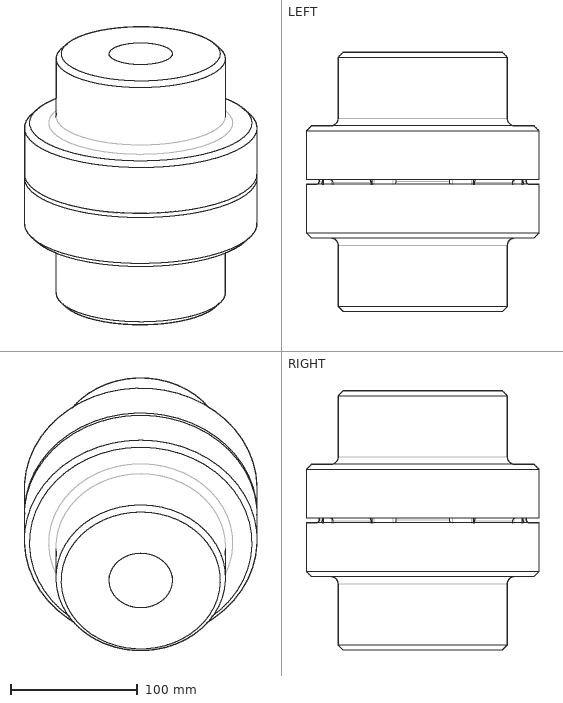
import cadquery as cq
import math


total_length = 205.1
hub_gap = 3.5
flange_diameter = 184.0
flange_thickness = 42.7
boss_diameter = 134.0
boss_fillet = 5.7
bore_diameter = 50.0
edge_chamfer = 4.0

claws_per_hub = 4
claw_angle = 30.0
claw_outer_radius = 82.0
claw_inner_radius = 49.2
claw_root_fillet = 2.0
pocket_depth = 24.6

spider_inner_radius = 37.0
leg_edge_round = 2.3

flange_radius = flange_diameter / 2
boss_radius = boss_diameter / 2
bore_radius = bore_diameter / 2
face_z = hub_gap / 2
end_z = total_length / 2
flange_back_z = face_z + flange_thickness
pocket_floor_z = face_z + pocket_depth
claw_pitch = 360.0 / claws_per_hub
pocket_angle = claw_pitch - claw_angle
leg_count = 2 * claws_per_hub
leg_pitch = 360.0 / leg_count
leg_angle = leg_pitch - claw_angle


def polar(radius, angle):
    """Point in the XY plane at an angle in degrees from +X."""
    return (radius * math.cos(math.radians(angle)), radius * math.sin(math.radians(angle)))


def turn(body, angle):
    """Body turned about the Z axis by an angle in degrees."""
    return body.rotate((0, 0, 0), (0, 0, 1), angle)


def ring(inner_radius, outer_radius, bottom_z, top_z):
    """Plain ring about the Z axis."""
    height = top_z - bottom_z
    base = cq.Workplane("XY").workplane(offset=bottom_z)
    return base.circle(outer_radius).circle(inner_radius).extrude(height)


def fillet_middle(radius):
    """Distance, along each of two square faces, from their corner to the middle of a fillet."""
    return radius * (1 - math.sqrt(0.5))


def hub_blank():
    """Turned body of the upper hub: chamfered flange, filleted boss and through bore."""
    arc_middle = fillet_middle(boss_fillet)
    return (
        cq.Workplane("XZ")
        .moveTo(bore_radius, face_z)
        .lineTo(flange_radius, face_z)
        .lineTo(flange_radius, flange_back_z - edge_chamfer)
        .lineTo(flange_radius - edge_chamfer, flange_back_z)
        .lineTo(boss_radius + boss_fillet, flange_back_z)
        .threePointArc(
            (boss_radius + arc_middle, flange_back_z + arc_middle),
            (boss_radius, flange_back_z + boss_fillet),
        )
        .lineTo(boss_radius, end_z - edge_chamfer)
        .lineTo(boss_radius - edge_chamfer, end_z)
        .lineTo(bore_radius, end_z)
        .close()
        .revolve(360, (0, 0, 0), (0, 1, 0))
    )


def pocket():
    """Space sunk into the upper flange between two claws, centred on +X."""
    half_angle = pocket_angle / 2
    return (
        cq.Workplane("XY")
        .workplane(offset=face_z)
        .moveTo(*polar(claw_inner_radius, -half_angle))
        .lineTo(*polar(claw_outer_radius, -half_angle))
        .threePointArc((claw_outer_radius, 0), polar(claw_outer_radius, half_angle))
        .lineTo(*polar(claw_inner_radius, half_angle))
        .threePointArc((claw_inner_radius, 0), polar(claw_inner_radius, -half_angle))
        .close()
        .extrude(pocket_depth)
    )


def claw():
    """Claw of the upper hub, centred on +X, with a concave fillet at its outer root."""
    arc_middle = fillet_middle(claw_root_fillet)
    uncentred_claw = (
        cq.Workplane("XZ")
        .moveTo(claw_inner_radius, face_z)
        .lineTo(claw_inner_radius, -pocket_floor_z)
        .lineTo(claw_outer_radius, -pocket_floor_z)
        .lineTo(claw_outer_radius, face_z - claw_root_fillet)
        .threePointArc(
            (claw_outer_radius + arc_middle, face_z - arc_middle),
            (claw_outer_radius + claw_root_fillet, face_z),
        )
        .close()
        .revolve(claw_angle, (0, 0, 0), (0, 1, 0))
    )
    return turn(uncentred_claw, -claw_angle / 2)


def make_hub():
    """Upper hub, with its first claw centred half a claw pitch from +X."""
    hub = hub_blank().cut(ring(spider_inner_radius, claw_inner_radius, face_z, pocket_floor_z))
    for index in range(claws_per_hub):
        hub = hub.cut(turn(pocket(), index * claw_pitch))
    for index in range(claws_per_hub):
        hub = hub.union(turn(claw(), (index + 0.5) * claw_pitch))
    return hub


def spider_leg():
    """Spider leg centred on +X, with a flat outer face between two rounded edges."""
    half_angle = leg_angle / 2
    return (
        cq.Workplane("XY")
        .workplane(offset=-pocket_floor_z)
        .moveTo(*polar(claw_inner_radius, -half_angle))
        .lineTo(*polar(claw_outer_radius, -half_angle))
        .lineTo(*polar(claw_outer_radius, half_angle))
        .lineTo(*polar(claw_inner_radius, half_angle))
        .threePointArc((claw_inner_radius, 0), polar(claw_inner_radius, -half_angle))
        .close()
        .extrude(2 * pocket_floor_z)
        .edges("|Z and >X")
        .fillet(leg_edge_round)
    )


def make_spider():
    """Ring with legs that fill the spaces between neighbouring claws."""
    spider = ring(spider_inner_radius, claw_inner_radius, -pocket_floor_z, pocket_floor_z)
    for index in range(leg_count):
        spider = spider.union(turn(spider_leg(), (index + 0.5) * leg_pitch))
    return spider


upper_hub = make_hub()
lower_hub = turn(make_hub().rotate((0, 0, 0), (1, 0, 0), 180), claw_pitch / 2)
spider = make_spider()

result = cq.Compound.makeCompound([upper_hub.val(), lower_hub.val(), spider.val()])